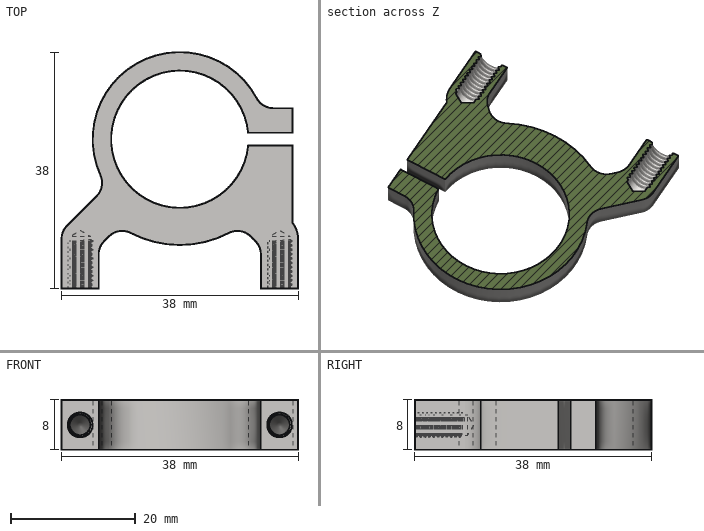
import cadquery as cq
import math

thickness = 8.0
bore_radius = 11.0
ring_radius = 14.0
saddle_radius = 17.0
blend_radius = 3.0

lug_end = 18.1
lug_top = 5.0
slit_width = 2.0
shoulder_radius = 4.2
shoulder_start_y = -16.0

leg_center = 16.0
leg_width = 6.0
foot_y = -24.0
leg_inner = leg_center - leg_width / 2
leg_outer = leg_center + leg_width / 2
arm_offset = leg_width / 2 * math.sqrt(2)
outer_bend_y = arm_offset - leg_outer
inner_bend_y = -arm_offset - leg_inner

major_radius = 4.0 / 2
minor_radius = 3.3 / 2
thread_pitch = 0.7
bore_turns = 12
thread_turns = bore_turns - 1
root_flat = thread_pitch / 8
crest_flat = thread_pitch / 4
flank_length = (thread_pitch - root_flat - crest_flat) / 2
drill_point_angle = 118.0
groove_overlap = 0.1


def make_plate(points):
    return cq.Workplane("XY").polyline(points).close().extrude(thickness)


def make_disc(radius):
    return cq.Workplane("XY").circle(radius).extrude(thickness)


def make_left_leg():
    """Foot and arm on the -X side, with sharp corners."""
    return make_plate([
        (-leg_inner, foot_y),
        (-leg_outer, foot_y),
        (-leg_outer, outer_bend_y),
        (0, arm_offset),
        (0, -arm_offset),
        (-leg_inner, inner_bend_y),
    ])


def shoulder_point(x):
    """Point of the shoulder arc, which leaves the outer face of the foot tangentially."""
    center_x = leg_outer - shoulder_radius
    rise = math.sqrt(shoulder_radius**2 - (x - center_x)**2)
    return (x, shoulder_start_y + rise)


def make_right_leg():
    """Foot, arm and clamping lug on the +X side as one block."""
    return (
        cq.Workplane("XY")
        .moveTo(0, lug_top)
        .lineTo(lug_end, lug_top)
        .lineTo(*shoulder_point(lug_end))
        .threePointArc(
            shoulder_point((lug_end + leg_outer) / 2),
            (leg_outer, shoulder_start_y),
        )
        .lineTo(leg_outer, foot_y)
        .lineTo(leg_inner, foot_y)
        .lineTo(leg_inner, inner_bend_y)
        .lineTo(0, -arm_offset)
        .close()
        .extrude(thickness)
    )


def make_saddle():
    """Sector of the larger disc between the centre lines of the two arms."""
    sector = make_plate([
        (0, 0),
        (-saddle_radius, -saddle_radius),
        (saddle_radius, -saddle_radius),
    ])
    return make_disc(saddle_radius).intersect(sector)


def arm_corner(side, edge, radius):
    """Point where an arm edge (+1 upper, -1 lower) meets a circle about the ring axis."""
    across = leg_width / 2
    along = math.sqrt(radius**2 - across**2)
    x = (along + edge * across) / math.sqrt(2)
    y = (edge * across - along) / math.sqrt(2)
    return (side * x, y)


def round_corners(body):
    corners = [
        (math.sqrt(ring_radius**2 - lug_top**2), lug_top),
        arm_corner(-1, 1, ring_radius),
        (-leg_outer, outer_bend_y),
    ]
    for side in (-1, 1):
        corners.append(arm_corner(side, -1, saddle_radius))
        corners.append((side * leg_inner, inner_bend_y))
    edges = []
    for x, y in corners:
        nearest = cq.NearestToPointSelector((x, y, thickness / 2))
        edges += body.edges("|Z").edges(nearest).vals()
    return body.newObject(edges).fillet(blend_radius)


def make_drilled_hole():
    """Countersunk blind hole along +Z with a drill point, cutting from Z = 0."""
    depth = bore_turns * thread_pitch
    point_length = minor_radius / math.tan(math.radians(drill_point_angle / 2))
    profile = [
        (0, 0),
        (major_radius, 0),
        (minor_radius, major_radius - minor_radius),
        (minor_radius, depth),
        (0, depth + point_length),
    ]
    return cq.Workplane("XZ").polyline(profile).close().revolve(360, (0, 0), (0, 1))


def make_thread_groove():
    """Helical thread groove rising from the mouth and ending before the drill point."""
    length = thread_turns * thread_pitch
    helix = cq.Wire.makeHelix(thread_pitch, length, minor_radius)
    flank_slope = flank_length / (major_radius - minor_radius)
    root_half = root_flat / 2
    inner_half = root_half + flank_length + groove_overlap * flank_slope
    inner_radius = minor_radius - groove_overlap
    profile = [
        (inner_radius, -inner_half),
        (major_radius, -root_half),
        (major_radius, root_half),
        (inner_radius, inner_half),
    ]
    return cq.Workplane("XZ").polyline(profile).close().sweep(helix, isFrenet=True)


def cut_threaded_hole(body, x):
    for cutter in (make_drilled_hole(), make_thread_groove()):
        turned = cutter.rotate((0, 0, 0), (1, 0, 0), -90)
        body = body.cut(turned.translate((x, foot_y, thickness / 2)))
    return body


def make_slit():
    return cq.Workplane("XY").box(
        lug_end, slit_width, thickness, centered=(False, True, False)
    )


body = make_disc(ring_radius).union(make_saddle())
body = body.union(make_left_leg()).union(make_right_leg()).clean()
body = round_corners(body)
body = body.cut(make_disc(bore_radius)).cut(make_slit())
for hole_x in (-leg_center, leg_center):
    body = cut_threaded_hole(body, hole_x)

result = body.solids()